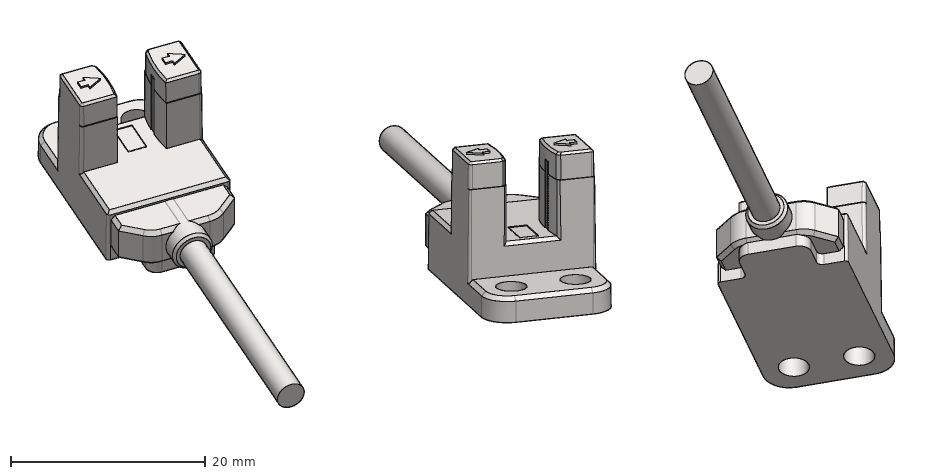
import cadquery as cq
import math

LENGTH = 51.1
WIDTH = 14.0
HEIGHT = 15.6
HALF_WIDTH = WIDTH / 2

DRAFT = 0.7

FLANGE_THICKNESS = 2.75
FLANGE_CORNER_RADIUS = 2.8
HOLE_DIAMETER = 3.2
HOLE_X = 3.5
HOLE_PITCH = 7.0
BROAD_CHAMFER = 0.45

HOUSING_FRONT = 6.85
HOUSING_REAR = 19.95
HOUSING_HEIGHT = 6.4
BODY_RADIUS = 0.35

FORK_REAR = 12.9
FORK_TOP = 15.4
CAP_BOTTOM = 12.45
CAP_STEP = 0.1
ARM_TOP_CHAMFER = 0.25
GAP_HALF_WIDTH = 2.75
GAP_BULGE = 0.25
GAP_FLARE = 0.4
FORK_CENTER_X = (HOUSING_FRONT + FORK_REAR) / 2

WINDOW_DEPTH = 0.1
SLIT_WIDTH = 0.8
SLIT_TOP = 13.8
FLOOR_WINDOW_LENGTH = 3.75
FLOOR_WINDOW_WIDTH = 2.05

ARROW_TIPS_Y = (6.2, -3.3)
ARROW_LENGTH = 2.4
ARROW_HEAD_LENGTH = 1.6
ARROW_HEAD_HALF_WIDTH = 0.85
ARROW_STEM_HALF_WIDTH = 0.4

BOOT_END = 24.2
BOOT_BOTTOM = 1.4
BOOT_TOP = 5.8
BOOT_HALF_WIDTH = 6.55
BOOT_SLOPE_START_X = 21.75
BOOT_END_HALF_WIDTH = 3.75
BOOT_CORNER_RADIUS = 2.8
FOOT_END = 23.8
FOOT_HALF_WIDTH = 3.85
FOOT_CORNER_RADIUS = 1.3
FOOT_ROOT_RADIUS = 0.6
COLLAR_DIAMETER = 4.5
COLLAR_END = 26.1
COLLAR_CHAMFER = 0.3
CABLE_DIAMETER = 3.0
CABLE_Z = 3.6

OVERLAP = 0.5
PICK_MARGIN = 0.05


def block(x_min, x_max, half_width, z_min, z_max):
    """Box symmetric about the XZ plane."""
    size = (x_max - x_min, 2 * half_width, z_max - z_min)
    return cq.Workplane("XY").box(*size, centered=(False, True, False)).translate((x_min, 0, z_min))


def drafted_block(x_min, x_max, half_width, z_min, z_max, rounded, radius):
    """Block that tapers upward; the chosen corners of its outline are rounded."""
    outline = cq.Sketch().rect(x_max - x_min, 2 * half_width)
    outline = outline.vertices(rounded).fillet(radius)
    base = cq.Workplane("XY", origin=((x_min + x_max) / 2, 0, z_min)).placeSketch(outline)
    return base.extrude(z_max - z_min, taper=DRAFT)


def rod(x_start, x_end, diameter):
    """Cylinder along X on the cable axis."""
    plane = cq.Workplane("YZ", origin=(x_start, 0, CABLE_Z))
    return plane.circle(diameter / 2).extrude(x_end - x_start)


def flange():
    plate = drafted_block(0, FORK_CENTER_X, HALF_WIDTH, 0, FLANGE_THICKNESS, "<X", FLANGE_CORNER_RADIUS)
    plate = plate.faces(">Z").edges().chamfer(BROAD_CHAMFER)
    holes = cq.Workplane("XY").pushPoints([(HOLE_X, side * HOLE_PITCH / 2) for side in (-1, 1)])
    return plate.cut(holes.circle(HOLE_DIAMETER / 2).extrude(FLANGE_THICKNESS))


def above_deck():
    """Space above the rear deck, sloping down at 45 degrees to bevel the deck's side and rear edges."""
    flat_y = HALF_WIDTH - BROAD_CHAMFER
    flat_end = HOUSING_REAR - BROAD_CHAMFER
    across = cq.Workplane("YZ", origin=(FORK_REAR, 0, 0)).polyline([
        (-flat_y, HOUSING_HEIGHT),
        (-flat_y - HOUSING_HEIGHT, 0),
        (-flat_y - HOUSING_HEIGHT, HEIGHT),
        (flat_y + HOUSING_HEIGHT, HEIGHT),
        (flat_y + HOUSING_HEIGHT, 0),
        (flat_y, HOUSING_HEIGHT),
    ])
    behind = cq.Workplane("XZ").polyline([
        (flat_end, HOUSING_HEIGHT),
        (flat_end + HOUSING_HEIGHT, HOUSING_HEIGHT),
        (flat_end + HOUSING_HEIGHT, 0),
    ])
    return across.close().extrude(LENGTH).union(behind.close().extrude(WIDTH, both=True))


def housing():
    """Rear deck and both arms up to the caps, in one drafted body."""
    body = drafted_block(HOUSING_FRONT, HOUSING_REAR, HALF_WIDTH, 0, CAP_BOTTOM, "<X or >X", BODY_RADIUS)
    body = body.cut(above_deck())
    arm_backs = cq.selectors.BoxSelector(
        (FORK_REAR - PICK_MARGIN, -HALF_WIDTH, HOUSING_HEIGHT + OVERLAP),
        (FORK_REAR + PICK_MARGIN, HALF_WIDTH, CAP_BOTTOM - OVERLAP),
    )
    return body.edges(arm_backs).fillet(BODY_RADIUS)


def fork_gap(front_x, floor_z):
    """Gap between the arms: flared at the front, with side walls that bulge inward as shallow arcs."""
    flare_end = front_x + GAP_FLARE
    flare_start = front_x - OVERLAP
    flared_half_width = GAP_HALF_WIDTH + GAP_FLARE + OVERLAP
    wall_middle = GAP_HALF_WIDTH - GAP_BULGE
    plan = (
        cq.Workplane("XY", origin=(0, 0, floor_z))
        .moveTo(flare_start, -flared_half_width)
        .lineTo(flare_end, -GAP_HALF_WIDTH)
        .threePointArc((FORK_CENTER_X, -wall_middle), (FORK_REAR, -GAP_HALF_WIDTH))
        .lineTo(FORK_REAR + OVERLAP, -GAP_HALF_WIDTH)
        .lineTo(FORK_REAR + OVERLAP, GAP_HALF_WIDTH)
        .lineTo(FORK_REAR, GAP_HALF_WIDTH)
        .threePointArc((FORK_CENTER_X, wall_middle), (flare_end, GAP_HALF_WIDTH))
        .lineTo(flare_start, flared_half_width)
        .close()
    )
    return plan.extrude(HEIGHT)


def arm_caps():
    """Tops of both arms, set in slightly from the arms below."""
    draft_inset = CAP_BOTTOM * math.tan(math.radians(DRAFT))
    cap_front = HOUSING_FRONT + draft_inset + CAP_STEP
    caps = drafted_block(
        cap_front,
        FORK_REAR - CAP_STEP,
        HALF_WIDTH - draft_inset,
        CAP_BOTTOM,
        FORK_TOP,
        "<X or >X",
        BODY_RADIUS,
    )
    return caps.cut(fork_gap(cap_front, HOUSING_HEIGHT)).faces(">Z").edges().chamfer(ARM_TOP_CHAMFER)


def gap_floor_bevel():
    """Wedge that bevels the front edge of the gap floor between the flared arm corners."""
    low = HOUSING_HEIGHT - BROAD_CHAMFER
    wedge = cq.Workplane("XZ").polyline([
        (HOUSING_FRONT, low),
        (HOUSING_FRONT + BROAD_CHAMFER, HOUSING_HEIGHT),
        (HOUSING_FRONT, HOUSING_HEIGHT),
    ])
    return wedge.close().extrude(HALF_WIDTH, both=True).intersect(fork_gap(HOUSING_FRONT, low))


def windows():
    """Shallow recesses: a slit in each gap wall and a rectangle in the gap floor."""
    wall = GAP_HALF_WIDTH - GAP_BULGE + WINDOW_DEPTH
    slits = block(
        FORK_CENTER_X - SLIT_WIDTH / 2, FORK_CENTER_X + SLIT_WIDTH / 2, wall, HOUSING_HEIGHT, SLIT_TOP
    )
    floor = block(
        FORK_CENTER_X - FLOOR_WINDOW_LENGTH / 2,
        FORK_CENTER_X + FLOOR_WINDOW_LENGTH / 2,
        FLOOR_WINDOW_WIDTH / 2,
        HOUSING_HEIGHT - WINDOW_DEPTH,
        HOUSING_HEIGHT,
    )
    return slits.union(floor)


def arrow(tip_y):
    half = [
        (ARROW_HEAD_HALF_WIDTH, -ARROW_HEAD_LENGTH),
        (ARROW_STEM_HALF_WIDTH, -ARROW_HEAD_LENGTH),
        (ARROW_STEM_HALF_WIDTH, -ARROW_LENGTH),
    ]
    mirrored = [(-x, y) for x, y in reversed(half)]
    plane = cq.Workplane("XY", origin=(FORK_CENTER_X, tip_y, FORK_TOP))
    return plane.polyline([(0, 0)] + half + mirrored).close().extrude(HEIGHT - FORK_TOP)


def boot():
    """Tapering cable boot behind the housing, chamfered around its top and bottom."""
    start = HOUSING_REAR - OVERLAP
    outline = [
        (start, -BOOT_HALF_WIDTH),
        (BOOT_SLOPE_START_X, -BOOT_HALF_WIDTH),
        (BOOT_END, -BOOT_END_HALF_WIDTH),
        (BOOT_END, BOOT_END_HALF_WIDTH),
        (BOOT_SLOPE_START_X, BOOT_HALF_WIDTH),
        (start, BOOT_HALF_WIDTH),
    ]
    plane = cq.Workplane("XY", origin=(0, 0, BOOT_BOTTOM))
    body = plane.polyline(outline).close().extrude(BOOT_TOP - BOOT_BOTTOM)
    body = body.edges("|Z and >X").fillet(BOOT_CORNER_RADIUS)
    return body.faces("<Z or >Z").edges("not <X").chamfer(BROAD_CHAMFER)


def foot():
    """Low foot under the boot, blended into the housing at its root."""
    pad = block(HOUSING_REAR, FOOT_END, FOOT_HALF_WIDTH, 0, BOOT_BOTTOM + OVERLAP)
    pad = pad.edges("|Z and >X").fillet(FOOT_CORNER_RADIUS)
    wall = block(HOUSING_REAR - OVERLAP, HOUSING_REAR, HALF_WIDTH - BODY_RADIUS, 0, BOOT_BOTTOM + OVERLAP)
    root = cq.selectors.BoxSelector(
        (HOUSING_REAR - PICK_MARGIN, -HALF_WIDTH + OVERLAP, 0),
        (HOUSING_REAR + PICK_MARGIN, HALF_WIDTH - OVERLAP, HEIGHT),
    )
    joined = pad.union(wall)
    return joined.edges("|Z").edges(root).fillet(FOOT_ROOT_RADIUS)


def cable():
    """Cable with the chamfered collar that leads it out of the boot."""
    collar = rod(HOUSING_REAR - OVERLAP, COLLAR_END, COLLAR_DIAMETER)
    collar = collar.faces(">X").chamfer(COLLAR_CHAMFER)
    return collar.union(rod(HOUSING_REAR, LENGTH, CABLE_DIAMETER))


result = housing().cut(fork_gap(HOUSING_FRONT, HOUSING_HEIGHT)).union(arm_caps()).union(flange())
result = result.cut(gap_floor_bevel())
result = result.cut(windows())
for arrow_tip_y in ARROW_TIPS_Y:
    result = result.union(arrow(arrow_tip_y))
result = result.union(boot()).union(foot()).union(cable())